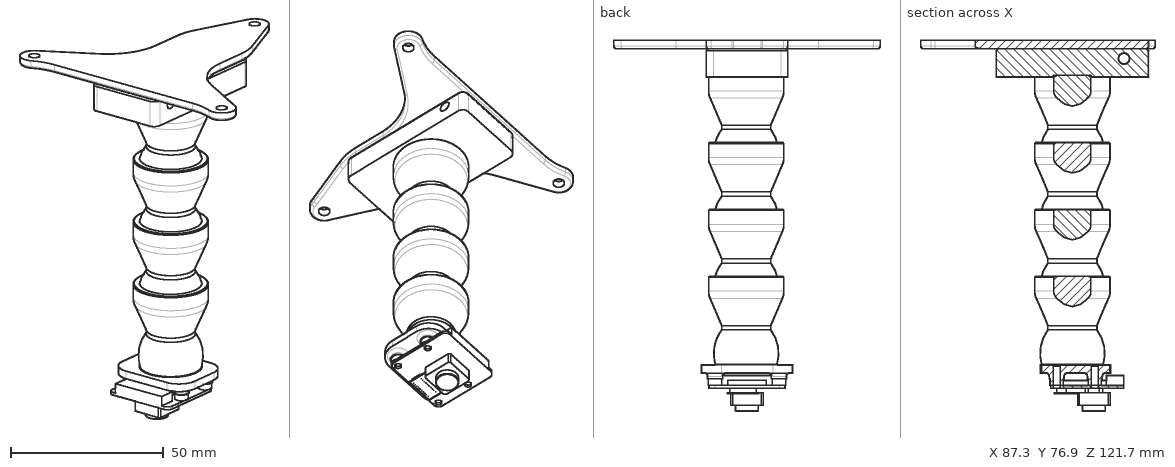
import cadquery as cq
import math


lens_height = 2.0
housing_height = 4.1
board_gap = 1.5
board_thickness = 1.0
post_height = 4.0
flange_thickness = 2.7
housing_bottom = lens_height
housing_top = housing_bottom + housing_height
board_bottom = housing_top + board_gap
board_top = board_bottom + board_thickness
flange_bottom = board_top + post_height
flange_top = flange_bottom + flange_thickness

link_count = 4
hose_x = 0.2
link_pitch = 21.9
ball_base_radius = 10.1
ball_bulge_radius = 10.6
ball_bulge_height = 5.1
neck_diameter = 16.2
neck_bottom = 11.5
neck_top = 12.9
cone_top_radius = 11.9
shoulder_bend_radius = 12.3
shoulder_bend_height = 23.0
socket_diameter = 24.7
socket_wall_bottom = 24.2
socket_rim = 29.1
rim_chamfer = 0.4
hose_top = flange_top + (link_count - 1) * link_pitch + socket_rim

box_width = 26.8
box_length = 50.0
box_height = 9.3
box_corner_radius = 2.3
box_top_chamfer = 0.6
rim_seat_depth = 0.5
box_bottom = hose_top - rim_seat_depth
box_top = box_bottom + box_height
cross_hole_diameter = 3.5
cross_hole_y = -16.9
cross_hole_below_top = 3.2

total_height = 121.7
ear_radius = 4.7
ear_hole_diameter = 3.7
ear_spacing = 77.9
ear_below_edge = 2.2
outline_radius = 20.0
arm_angle = math.radians(30)
shoulder_angle = math.radians(22.5)
shoulder_start_y = 20.9
plate_bottom_fillet = 1.0
front_edge_y = -box_length / 2
low_ear = (ear_spacing / 2, front_edge_y - ear_below_edge + ear_radius)
top_ear = (0, low_ear[1] + ear_spacing * math.sqrt(3) / 2)

flange_width = 30.0
flange_depth = 23.1
flange_center_y = -1.1
flange_corner_radius = 6.5
post_diameter = 4.5
collar_diameter = 5.0
collar_height = 0.9
post_flare_radius = 1.1
post_spacing_x = 20.9
post_spacing_y = 12.5
screw_hole_diameter = 2.2
screw_hole_roof = 0.5
ball_seat_radius = 10.3
ball_seat_height = 0.2

board_width = 25.0
board_depth = 24.0
board_corner_radius = 2.0
post_to_board_edge = 2.0
board_back_y = flange_center_y + post_spacing_y / 2 + post_to_board_edge
board_center_y = board_back_y - board_depth / 2
board_front_y = board_back_y - board_depth
component_back_y = board_back_y - post_to_board_edge
connector_size = (19.2, 5.7, 3.3)
chip_width = 12.5
chip_height = 1.6
lens_y = -7.0
housing_side = 10.7
housing_edge_chamfer = 0.6
lens_diameter = 7.5
lens_chamfer = 0.18
spacer_side = 5.8
spacer_chamfer = 1.1
flex_socket_size = (8.8, 3.2)
flex_socket_x = 1.3
flex_margin = 0.7
flex_thickness = 0.4


def offset_point(start, direction, distance):
    return (start[0] + direction[0] * distance, start[1] + direction[1] * distance)


def toward(start, end, distance):
    """Point at a distance from start in the direction of end."""
    gap = math.dist(start, end)
    direction = ((end[0] - start[0]) / gap, (end[1] - start[1]) / gap)
    return offset_point(start, direction, distance)


def arc_middle(center, start, end, radius):
    chord_middle = ((start[0] + end[0]) / 2, (start[1] + end[1]) / 2)
    return toward(center, chord_middle, radius)


def ear_blend(ear, line_point, along, outward):
    """Concave arc that joins a straight edge to an ear: its line end, middle and ear end."""
    to_ear = (ear[0] - line_point[0], ear[1] - line_point[1])
    ear_along = to_ear[0] * along[0] + to_ear[1] * along[1]
    ear_outward = to_ear[0] * outward[0] + to_ear[1] * outward[1]
    reach = math.sqrt((outline_radius + ear_radius) ** 2 - (outline_radius - ear_outward) ** 2)
    line_end = offset_point(line_point, along, ear_along - reach)
    center = offset_point(line_end, outward, outline_radius)
    ear_end = toward(ear, center, ear_radius)
    return line_end, arc_middle(center, line_end, ear_end, outline_radius), ear_end


def plate_half_outline():
    """Right half of the plate outline as (middle, end) arcs and (None, end) lines."""
    low_line_end, low_blend_middle, low_ear_start = ear_blend(low_ear, (0, front_edge_y), (1, 0), (0, -1))
    low_ear_outside = (low_ear[0] + ear_radius, low_ear[1])

    arm_normal = (math.sin(arm_angle), math.cos(arm_angle))
    arm_direction = (-math.cos(arm_angle), math.sin(arm_angle))
    arm_start = offset_point(low_ear, arm_normal, ear_radius)
    inner_center_x = box_width / 2 + outline_radius
    arm_end_x = inner_center_x - outline_radius * arm_normal[0]
    arm_end = offset_point(arm_start, arm_direction, (arm_start[0] - arm_end_x) / math.cos(arm_angle))
    inner_center = offset_point(arm_end, arm_normal, outline_radius)
    side_start = (box_width / 2, inner_center[1])
    inner_middle = arc_middle(inner_center, arm_end, side_start, outline_radius)

    side_end = (box_width / 2, shoulder_start_y)
    shoulder_center = (box_width / 2 - outline_radius, shoulder_start_y)
    slant_normal = (math.cos(shoulder_angle), math.sin(shoulder_angle))
    slant_direction = (-math.sin(shoulder_angle), math.cos(shoulder_angle))
    slant_start = offset_point(shoulder_center, slant_normal, outline_radius)
    shoulder_middle = arc_middle(shoulder_center, side_end, slant_start, outline_radius)
    slant_end, top_blend_middle, top_ear_start = ear_blend(
        top_ear, slant_start, slant_direction, slant_normal
    )
    top_ear_tip = (top_ear[0], top_ear[1] + ear_radius)
    top_ear_middle = arc_middle(top_ear, top_ear_start, top_ear_tip, ear_radius)

    return [
        (None, low_line_end),
        (low_blend_middle, low_ear_start),
        (low_ear_outside, arm_start),
        (None, arm_end),
        (inner_middle, side_start),
        (None, side_end),
        (shoulder_middle, slant_start),
        (None, slant_end),
        (top_blend_middle, top_ear_start),
        (top_ear_middle, top_ear_tip),
    ]


def make_plate():
    outline = cq.Workplane("XY", origin=(0, 0, box_top)).moveTo(0, front_edge_y)
    for middle, end in plate_half_outline():
        if middle is None:
            outline = outline.lineTo(*end)
        else:
            outline = outline.threePointArc(middle, end)
    half = outline.close().extrude(total_height - box_top)
    plate = half.union(half.mirror("YZ")).clean()
    plate = plate.faces("<Z").edges().fillet(plate_bottom_fillet)
    ears = [low_ear, (-low_ear[0], low_ear[1]), top_ear]
    holes = (
        cq.Workplane("XY", origin=(0, 0, box_top))
        .pushPoints(ears)
        .circle(ear_hole_diameter / 2)
        .extrude(total_height - box_top)
    )
    return plate.cut(holes)


def make_ball(base_z):
    """Barrel-shaped ball end of a link, from its flat base up to the neck."""
    return (
        cq.Workplane("XZ")
        .lineTo(ball_base_radius, 0)
        .threePointArc((ball_bulge_radius, ball_bulge_height), (neck_diameter / 2, neck_bottom))
        .lineTo(0, neck_bottom)
        .close()
        .revolve(360, (0, 0), (0, 1))
        .translate((hose_x, 0, base_z))
    )


def make_link(base_z):
    """Ball, neck and flared socket, whose cavity fits the ball of the next link up."""
    socket_radius = socket_diameter / 2
    flare = (
        cq.Workplane("XZ")
        .moveTo(0, neck_bottom)
        .lineTo(neck_diameter / 2, neck_bottom)
        .lineTo(neck_diameter / 2, neck_top)
        .lineTo(cone_top_radius, link_pitch)
        .threePointArc((shoulder_bend_radius, shoulder_bend_height), (socket_radius, socket_wall_bottom))
        .lineTo(socket_radius, socket_rim - rim_chamfer)
        .lineTo(socket_radius - rim_chamfer, socket_rim)
        .lineTo(0, socket_rim)
        .close()
        .revolve(360, (0, 0), (0, 1))
        .translate((hose_x, 0, base_z))
    )
    return make_ball(base_z).union(flare).cut(make_ball(base_z + link_pitch))


def make_box():
    """Box that seats the top rim and fills the top socket with a ball."""
    box = (
        cq.Workplane("XY", origin=(0, 0, box_bottom))
        .rect(box_width, box_length)
        .extrude(box_height)
        .edges("|Z")
        .fillet(box_corner_radius)
        .faces(">Z")
        .edges()
        .chamfer(box_top_chamfer)
    )
    rim_seat = (
        cq.Workplane("XY", origin=(hose_x, 0, box_bottom)).circle(socket_diameter / 2).extrude(rim_seat_depth)
    )
    ball_base_z = hose_top - socket_rim + link_pitch
    headroom = cq.Workplane("XY", origin=(0, 0, hose_top)).circle(socket_diameter).extrude(neck_bottom)
    stub = make_ball(ball_base_z).cut(headroom)
    cross_hole = (
        cq.Workplane("YZ")
        .center(cross_hole_y, box_top - cross_hole_below_top)
        .circle(cross_hole_diameter / 2)
        .extrude(box_width, both=True)
    )
    return box.cut(rim_seat).union(stub).cut(cross_hole)


def at_posts(z):
    """Workplane at a height with one point on each of the four posts."""
    return cq.Workplane("XY", origin=(0, flange_center_y, z)).rarray(post_spacing_x, post_spacing_y, 2, 2)


def make_flange():
    """Rounded plate with a ring around the lowest ball and four flared posts for the camera board."""
    flange = (
        cq.Workplane("XY", origin=(0, flange_center_y, flange_bottom))
        .rect(flange_width, flange_depth)
        .extrude(flange_thickness)
        .edges("|Z")
        .fillet(flange_corner_radius)
    )
    post_radius = post_diameter / 2
    collar_radius = collar_diameter / 2
    flare_bottom = post_height - post_flare_radius
    arc_offset = post_flare_radius * (1 - math.sqrt(0.5))
    post = (
        cq.Workplane("XZ")
        .lineTo(post_radius, 0)
        .lineTo(post_radius, flare_bottom - collar_height)
        .lineTo(collar_radius, flare_bottom - collar_height)
        .lineTo(collar_radius, flare_bottom)
        .threePointArc(
            (collar_radius + arc_offset, post_height - arc_offset),
            (collar_radius + post_flare_radius, post_height),
        )
        .lineTo(0, post_height)
        .close()
        .revolve(360, (0, 0), (0, 1))
        .val()
    )
    posts = at_posts(board_top).eachpoint(lambda place: post.located(place))
    hole_depth = post_height + flange_thickness - screw_hole_roof
    screw_holes = at_posts(board_top).circle(screw_hole_diameter / 2).extrude(hole_depth)
    ball_seat = cq.Workplane(
        cq.Solid.makeCone(
            ball_seat_radius,
            ball_seat_radius - ball_seat_height,
            ball_seat_height,
            pnt=cq.Vector(hose_x, 0, flange_top),
        )
    )
    ball_seat = ball_seat.cut(make_ball(flange_top))
    return flange.union(posts).cut(screw_holes).union(ball_seat)


def block(size_x, size_y, size_z, center_x, center_y, bottom):
    return cq.Workplane("XY", origin=(center_x, center_y, bottom)).rect(size_x, size_y).extrude(size_z)


def make_camera():
    """Circuit board with its cable connector, chip, flex cable, housing and lens."""
    board = (
        block(board_width, board_depth, board_thickness, 0, board_center_y, board_bottom)
        .edges("|Z")
        .fillet(board_corner_radius)
    )
    screw_holes = at_posts(board_bottom).circle(screw_hole_diameter / 2).extrude(board_thickness)
    board = board.cut(screw_holes)

    connector_center_y = board_front_y + connector_size[1] / 2
    connector = block(*connector_size, 0, connector_center_y, board_top)
    chip_front_y = board_front_y + connector_size[1]
    chip_center_y = (chip_front_y + component_back_y) / 2
    chip = block(chip_width, component_back_y - chip_front_y, chip_height, 0, chip_center_y, board_top)

    spacer = (
        block(spacer_side, spacer_side, board_gap, 0, lens_y, housing_top).edges("|Z").chamfer(spacer_chamfer)
    )
    housing = (
        block(housing_side, housing_side, housing_height, 0, lens_y, housing_bottom)
        .edges("|Z")
        .chamfer(housing_edge_chamfer)
    )
    lens = (
        cq.Workplane("XY", origin=(0, lens_y, 0))
        .circle(lens_diameter / 2)
        .extrude(lens_height)
        .faces("<Z")
        .chamfer(lens_chamfer)
    )

    flex_socket_y = component_back_y - flex_socket_size[1] / 2
    flex_socket = block(*flex_socket_size, board_gap, flex_socket_x, flex_socket_y, housing_top)
    flex_back_y = component_back_y + flex_margin
    flex_width = flex_socket_size[0] + 2 * flex_margin
    flex_length = flex_back_y - lens_y
    flex_y = (flex_back_y + lens_y) / 2
    flex_bottom = housing_top - flex_thickness
    flex = block(flex_width, flex_length, flex_thickness, flex_socket_x, flex_y, flex_bottom)

    camera = board
    for component in (connector, chip, spacer, housing, lens, flex_socket, flex):
        camera = camera.union(component)
    return camera


plate = make_plate()
box = make_box()
links = [make_link(flange_top + index * link_pitch) for index in range(link_count)]
flange = make_flange()
camera = make_camera()

result = cq.Compound.makeCompound(
    [plate.val(), box.val(), *[link.val() for link in links], flange.val(), camera.val()]
)